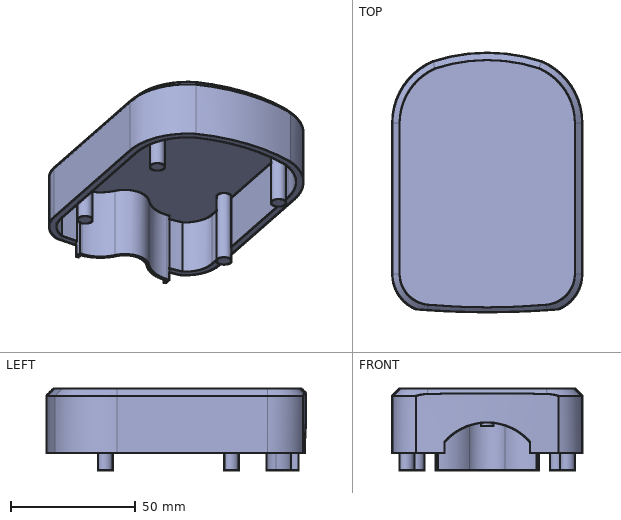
import cadquery as cq
import math

WIDTH = 76.5
LENGTH = 104.43
HEIGHT = 26.0
WALL = 3.0
CHAMFER = 3.0
HALF_WIDTH = WIDTH / 2

REAR_RADIUS = 27.0
REAR_TANGENT_Y = 76.1
REAR_SEAM_X = 21.9
FRONT_RADIUS = 15.5
FRONT_TANGENT_Y = 15.5
FRONT_FACE_RADIUS = 350.0
FRONT_TRIM = 1.0

ARCH_HALF_WIDTH = 17.2
ARCH_SPRING_Z = 4.4
ARCH_TOP_Z = 12.3

FOOT_DEPTH = 7.0
POST_DIAMETER = 6.0
FRONT_POST = (32.3, 30.0)
REAR_POST = (28.2, 80.7)

BELL_THICKNESS = 1.0
BELL_HALF_SPAN = 19.8
BELL_FRONT_Y = 5.0
BELL_BACK_Y = 15.0
BELL_SEAM_X = 7.1

PEG_DIAMETER = 5.0
PEG_BOTTOM_Z = 10.8

CEILING_Z = HEIGHT - WALL
EMBED = 1.0


def front_curve_radius():
    """Radius of the untrimmed front arc, tangent to both front corners."""
    corner_x = HALF_WIDTH - FRONT_RADIUS
    corner_offset = FRONT_TANGENT_Y + FRONT_TRIM
    return (corner_x**2 + corner_offset**2 - FRONT_RADIUS**2) / (2 * (corner_offset - FRONT_RADIUS))


def point_on_circle(center, radius, angle):
    return (center[0] + radius * math.cos(angle), center[1] + radius * math.sin(angle))


def mirrored(point):
    return (-point[0], point[1])


def untrimmed_block():
    """Solid block with rounded corners, bowed ends and a chamfered top."""
    rear_center = (HALF_WIDTH - REAR_RADIUS, REAR_TANGENT_Y)
    rear_angle = math.acos((REAR_SEAM_X - rear_center[0]) / REAR_RADIUS)
    rear_seam = point_on_circle(rear_center, REAR_RADIUS, rear_angle)
    rear_mid = point_on_circle(rear_center, REAR_RADIUS, rear_angle / 2)

    front_center = (HALF_WIDTH - FRONT_RADIUS, FRONT_TANGENT_Y)
    bow_center_y = front_curve_radius() - FRONT_TRIM
    front_angle = math.atan2(front_center[1] - bow_center_y, front_center[0])
    front_seam = point_on_circle(front_center, FRONT_RADIUS, front_angle)
    front_mid = point_on_circle(front_center, FRONT_RADIUS, front_angle / 2)

    outline = (
        cq.Workplane("XY")
        .moveTo(HALF_WIDTH, FRONT_TANGENT_Y)
        .lineTo(HALF_WIDTH, REAR_TANGENT_Y)
        .threePointArc(rear_mid, rear_seam)
        .threePointArc((0, LENGTH), mirrored(rear_seam))
        .threePointArc(mirrored(rear_mid), (-HALF_WIDTH, REAR_TANGENT_Y))
        .lineTo(-HALF_WIDTH, FRONT_TANGENT_Y)
        .threePointArc(mirrored(front_mid), mirrored(front_seam))
        .threePointArc((0, -FRONT_TRIM), front_seam)
        .threePointArc(front_mid, (HALF_WIDTH, FRONT_TANGENT_Y))
        .close()
    )
    return outline.extrude(HEIGHT)


def front_trim_cylinder():
    """Large upright cylinder whose side gives the bowed front face its shape."""
    profile = cq.Workplane("XY").center(0, FRONT_FACE_RADIUS).circle(FRONT_FACE_RADIUS)
    return profile.extrude(HEIGHT)


def shell():
    block = untrimmed_block()
    trim = front_trim_cylinder()
    body = block.faces(">Z").chamfer(CHAMFER).intersect(trim)
    inner_outline = block.intersect(trim).faces("<Z").wires().vals()[0].offset2D(-WALL)
    cavity = cq.Workplane("XY").add(inner_outline).toPending().extrude(CEILING_Z)
    return body.cut(cavity)


def arch_opening():
    return (
        cq.Workplane("XZ")
        .moveTo(-ARCH_HALF_WIDTH, 0)
        .lineTo(-ARCH_HALF_WIDTH, ARCH_SPRING_Z)
        .threePointArc((0, ARCH_TOP_Z), (ARCH_HALF_WIDTH, ARCH_SPRING_Z))
        .lineTo(ARCH_HALF_WIDTH, 0)
        .close()
        .extrude(-(WALL + EMBED))
    )


def hanging(profile, bottom_z):
    """Extrude a plan profile from bottom_z up into the ceiling."""
    return profile.extrude(CEILING_Z + EMBED - bottom_z).translate((0, 0, bottom_z))


def bell_wall():
    """Thin wall made of a hollow middle arc, two flared arcs and two straight end tabs."""
    flare_run = BELL_HALF_SPAN - BELL_SEAM_X
    depth = BELL_BACK_Y - BELL_FRONT_Y
    flare_depth = depth * flare_run / BELL_HALF_SPAN
    seam_angle = 2 * math.atan2(flare_depth, flare_run)
    flare_radius = flare_run / math.sin(seam_angle)
    middle_radius = BELL_SEAM_X / math.sin(seam_angle)

    flare_center = (BELL_HALF_SPAN, BELL_FRONT_Y + flare_radius)
    middle_center = (0, BELL_BACK_Y - middle_radius)
    seam_direction = -math.pi / 2 - seam_angle
    end_direction = -math.pi / 2

    def flare_point(share, offset):
        angle = end_direction + share * (seam_direction - end_direction)
        return point_on_circle(flare_center, flare_radius - offset, angle)

    tab_front = WALL
    tab_outer_x = BELL_HALF_SPAN + BELL_THICKNESS
    bell_back = BELL_FRONT_Y + BELL_THICKNESS
    front_seam, front_mid = flare_point(1, 0), flare_point(0.5, 0)
    back_seam, back_mid = flare_point(1, BELL_THICKNESS), flare_point(0.5, BELL_THICKNESS)
    front_apex = (0, middle_center[1] + middle_radius)
    back_apex = (0, front_apex[1] + BELL_THICKNESS)

    profile = (
        cq.Workplane("XY")
        .moveTo(BELL_HALF_SPAN, tab_front)
        .lineTo(BELL_HALF_SPAN, BELL_FRONT_Y)
        .threePointArc(front_mid, front_seam)
        .threePointArc(front_apex, mirrored(front_seam))
        .threePointArc(mirrored(front_mid), (-BELL_HALF_SPAN, BELL_FRONT_Y))
        .lineTo(-BELL_HALF_SPAN, tab_front)
        .lineTo(-tab_outer_x, tab_front)
        .lineTo(-tab_outer_x, bell_back)
        .lineTo(-BELL_HALF_SPAN, bell_back)
        .threePointArc(mirrored(back_mid), mirrored(back_seam))
        .threePointArc(back_apex, back_seam)
        .threePointArc(back_mid, (BELL_HALF_SPAN, bell_back))
        .lineTo(tab_outer_x, bell_back)
        .lineTo(tab_outer_x, tab_front)
        .close()
    )
    return hanging(profile, -FOOT_DEPTH)


def posts():
    centers = [(side * x, y) for x, y in (FRONT_POST, REAR_POST) for side in (-1, 1)]
    profile = cq.Workplane("XY").pushPoints(centers).circle(POST_DIAMETER / 2)
    return hanging(profile, -FOOT_DEPTH)


def peg():
    center_y = (WALL + BELL_BACK_Y) / 2
    profile = cq.Workplane("XY").center(0, center_y).circle(PEG_DIAMETER / 2)
    return hanging(profile, PEG_BOTTOM_Z)


result = shell().cut(arch_opening()).union(bell_wall()).union(posts()).union(peg())